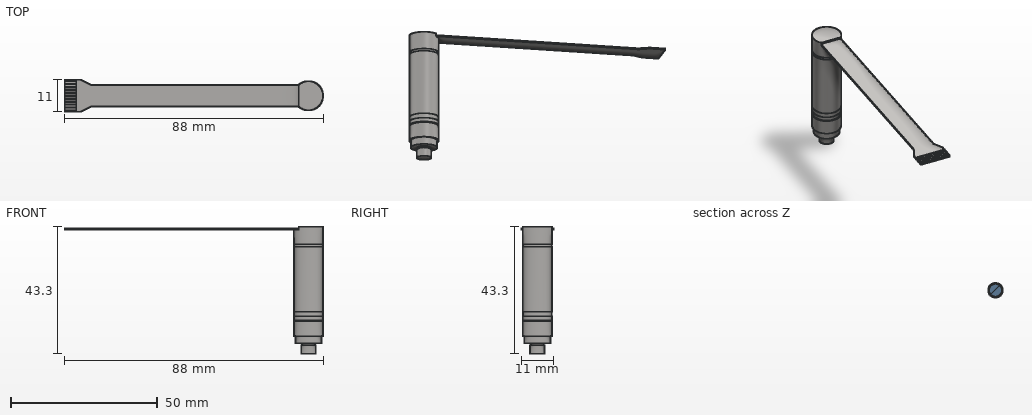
import cadquery as cq
import math

total_length = 88.0
total_height = 43.3

housing_diameter = 10.0
band_diameter = 9.9
groove_diameter = 9.9
collar_diameter = 9.0
neck_diameter = 4.5
tip_diameter = 5.0
tip_top = 3.0
collar_bottom = 3.6
housing_bottom = 6.1
recesses = [
    (groove_diameter, 11.2, 11.4),
    (band_diameter, 12.8, 14.3),
    (band_diameter, 36.5, 37.3),
]

tail_width = 7.5
head_width = 11.0
tail_thickness = 0.5
tail_top = total_height - 0.5
head_length = 5.5
taper_end = 9.0

pad_count = 10
pad_span = 9.8
pad_width = 0.75
pad_pitch = (pad_span - pad_width) / (pad_count - 1)
pad_length = 4.05
pad_height = 0.04
strip_top = tail_top - pad_height

housing_radius = housing_diameter / 2
axis_x = total_length - housing_radius
cut_x = axis_x - math.sqrt(housing_radius**2 - (tail_width / 2) ** 2)


def cylinder(diameter, bottom, top):
    """Cylinder on the housing axis between two heights."""
    return cq.Workplane("XY", origin=(axis_x, 0, bottom)).circle(diameter / 2).extrude(top - bottom)


def make_housing():
    """Stepped round body with shallow grooves and a flat for the tail."""
    body = cylinder(housing_diameter, housing_bottom, total_height)
    for diameter, bottom, top in recesses:
        ring = cylinder(housing_diameter, bottom, top).cut(cylinder(diameter, bottom, top))
        body = body.cut(ring)
    notch_length = cut_x - (axis_x - housing_radius)
    notch = cq.Workplane("XY", origin=(axis_x - housing_radius, 0, strip_top)).box(
        notch_length, housing_diameter, total_height - strip_top, centered=(False, True, False)
    )
    return (
        body.cut(notch)
        .union(cylinder(collar_diameter, collar_bottom, housing_bottom))
        .union(cylinder(neck_diameter, tip_top, collar_bottom))
        .union(cylinder(tip_diameter, 0, tip_top))
    )


def make_tail():
    """Thin strip that widens into the contact head."""
    half_tail = tail_width / 2
    half_head = head_width / 2
    base_thickness = tail_thickness - pad_height
    tail = (
        cq.Workplane("XY", origin=(0, 0, tail_top - tail_thickness))
        .moveTo(0, -half_head)
        .lineTo(head_length, -half_head)
        .lineTo(taper_end, -half_tail)
        .lineTo(axis_x, -half_tail)
        .lineTo(axis_x, half_tail)
        .lineTo(taper_end, half_tail)
        .lineTo(head_length, half_head)
        .lineTo(0, half_head)
        .close()
        .extrude(base_thickness)
    )
    pads = (
        cq.Workplane("XY", origin=(pad_length / 2, 0, strip_top))
        .rarray(pad_length, pad_pitch, 1, pad_count)
        .rect(pad_length, pad_width)
        .extrude(pad_height)
    )
    return tail.union(pads)


result = make_housing().union(make_tail())